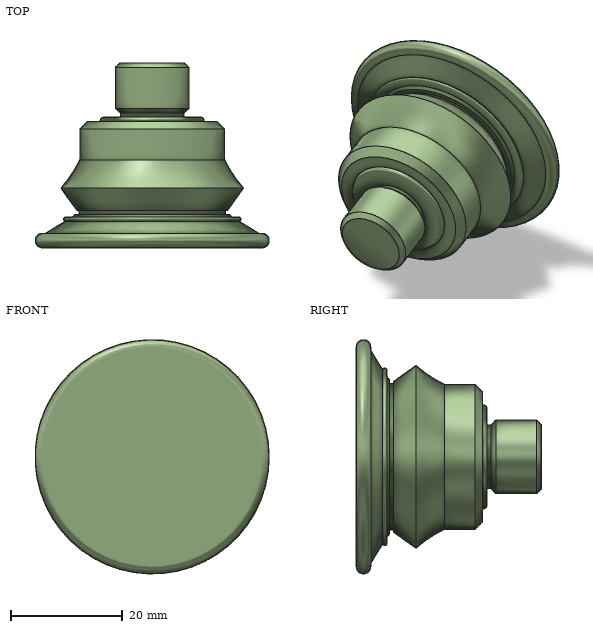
import cadquery as cq
import math

lip_radius = 21.0
skirt_base_radius = 19.15
skirt_top_radius = 15.62
ring_radius = 15.9
shoulder_base_radius = 14.35
shoulder_top_radius = 13.85
neck_radius = 26.25 / 2
bellows_foot_radius = 13.52
bellows_ridge_radius = 16.4
body_radius = 26.0 / 2
collar_radius = 9.32
undercut_radius = 11.42 / 2
shank_radius = 13.25 / 2

lip_top = 2.6
ring_bottom = 4.75
ring_top = 5.5
shoulder_top = 5.95
neck_top = 6.7
ridge_height = 10.7
body_bottom = 15.8
body_top = 22.7
collar_top = 23.45
undercut_top = 24.2
shank_bottom = 25.05
total_length = 33.2

body_chamfer = 1.4
collar_round = 0.65
shank_chamfer = 0.85
bellows_sag = 0.25

lip_round = lip_top / 2
ring_round = (ring_top - ring_bottom) / 2

bellows_mid = (
    (bellows_ridge_radius + body_radius) / 2 - bellows_sag,
    (ridge_height + body_bottom) / 2,
)

collar_arc_inset = collar_round * (1 - math.sqrt(0.5))
collar_arc_mid = (collar_radius - collar_arc_inset, collar_top - collar_arc_inset)

profile = (
    cq.Workplane("XY")
    .moveTo(0, 0)
    .lineTo(lip_radius - lip_round, 0)
    .threePointArc((lip_radius, lip_round), (lip_radius - lip_round, lip_top))
    .lineTo(skirt_base_radius, lip_top)
    .lineTo(skirt_top_radius, ring_bottom)
    .lineTo(ring_radius - ring_round, ring_bottom)
    .threePointArc((ring_radius, ring_bottom + ring_round), (ring_radius - ring_round, ring_top))
    .lineTo(shoulder_base_radius, ring_top)
    .lineTo(shoulder_top_radius, shoulder_top)
    .lineTo(neck_radius, shoulder_top)
    .lineTo(neck_radius, neck_top)
    .lineTo(bellows_foot_radius, neck_top)
    .lineTo(bellows_ridge_radius, ridge_height)
    .threePointArc(bellows_mid, (body_radius, body_bottom))
    .lineTo(body_radius, body_top - body_chamfer)
    .lineTo(body_radius - body_chamfer, body_top)
    .lineTo(collar_radius, body_top)
    .lineTo(collar_radius, collar_top - collar_round)
    .threePointArc(collar_arc_mid, (collar_radius - collar_round, collar_top))
    .lineTo(undercut_radius, collar_top)
    .lineTo(undercut_radius, undercut_top)
    .lineTo(shank_radius, shank_bottom)
    .lineTo(shank_radius, total_length - shank_chamfer)
    .lineTo(shank_radius - shank_chamfer, total_length)
    .lineTo(0, total_length)
    .close()
)

turned_part = profile.revolve(360, (0, 0, 0), (0, 1, 0))
result = turned_part.translate((0, -total_length / 2, 0))